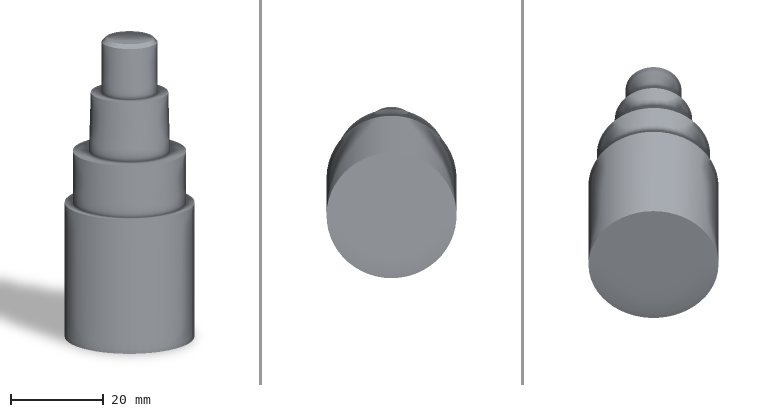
import cadquery as cq

TOTAL_HEIGHT = 66.75
FLANGE_TOP = 30.0
SHOULDER_TOP = 41.5
TAPER_TOP = 54.6

BASE_DIAMETER = 28.0
SHOULDER_DIAMETER = 24.4
TAPER_BOTTOM_DIAMETER = 17.5
TAPER_TOP_DIAMETER = 16.7
TIP_DIAMETER = 12.0

FLANGE_THICKNESS = 1.0
TIP_CHAMFER = 0.9

BASE_HEIGHT = FLANGE_TOP - FLANGE_THICKNESS


def make_base():
    """Plain cylinder below the flange."""
    return cq.Workplane("XY").circle(BASE_DIAMETER / 2).extrude(BASE_HEIGHT)


def make_stem():
    """Flanged, stepped shaft with a tapered seat and a chamfered tip, revolved about Z."""
    flange_radius = BASE_DIAMETER / 2
    shoulder_radius = SHOULDER_DIAMETER / 2
    tip_radius = TIP_DIAMETER / 2
    return (
        cq.Workplane("XZ")
        .moveTo(0, BASE_HEIGHT)
        .lineTo(flange_radius, BASE_HEIGHT)
        .lineTo(flange_radius, FLANGE_TOP)
        .lineTo(shoulder_radius, FLANGE_TOP)
        .lineTo(shoulder_radius, SHOULDER_TOP)
        .lineTo(TAPER_BOTTOM_DIAMETER / 2, SHOULDER_TOP)
        .lineTo(TAPER_TOP_DIAMETER / 2, TAPER_TOP)
        .lineTo(tip_radius, TAPER_TOP)
        .lineTo(tip_radius, TOTAL_HEIGHT - TIP_CHAMFER)
        .lineTo(tip_radius - TIP_CHAMFER, TOTAL_HEIGHT)
        .lineTo(0, TOTAL_HEIGHT)
        .close()
        .revolve(360, (0, 0), (0, 1))
    )


base = make_base()
stem = make_stem()
result = cq.Compound.makeCompound([base.val(), stem.val()])